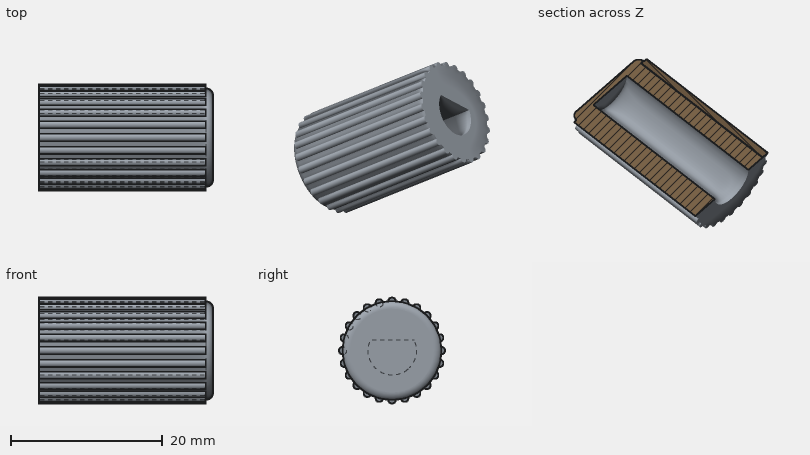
import cadquery as cq
import math

total_length = 23.0
nose_length = 1.0
nose_fillet = 1.0
core_radius = 6.5
rib_diameter = 1.0
rib_count = 24
loose_rib_count = 6
bore_radius = 3.2
bore_flat_height = 1.45

rib_length = total_length - nose_length
bore_depth = rib_length
rib_pitch = 2 * math.pi / rib_count


def make_rib(index):
    """One round rib centred on the core surface, counted from -Y toward +Z."""
    angle = index * rib_pitch
    y = -core_radius * math.cos(angle)
    z = core_radius * math.sin(angle)
    return cq.Workplane("YZ").center(y, z).circle(rib_diameter / 2).extrude(rib_length)


def make_bore():
    """Blind D-shaped shaft bore with its flat toward +Z."""
    half_flat = math.sqrt(bore_radius**2 - bore_flat_height**2)
    return (
        cq.Workplane("YZ")
        .moveTo(-half_flat, bore_flat_height)
        .threePointArc((0, -bore_radius), (half_flat, bore_flat_height))
        .close()
        .extrude(bore_depth)
    )


def make_knob(loose_ribs):
    """Core with rounded nose and fixed ribs, grooved to seat the loose ribs."""
    knob = cq.Workplane("YZ").circle(core_radius).extrude(total_length)
    knob = knob.faces(">X").edges().fillet(nose_fillet)
    for index in range(loose_rib_count, rib_count):
        knob = knob.union(make_rib(index))
    for rib in loose_ribs:
        knob = knob.cut(rib)
    return knob.cut(make_bore())


loose_ribs = [make_rib(index) for index in range(loose_rib_count)]
knob = make_knob(loose_ribs)

result = cq.Compound.makeCompound([knob.val(), *[rib.val() for rib in loose_ribs]])